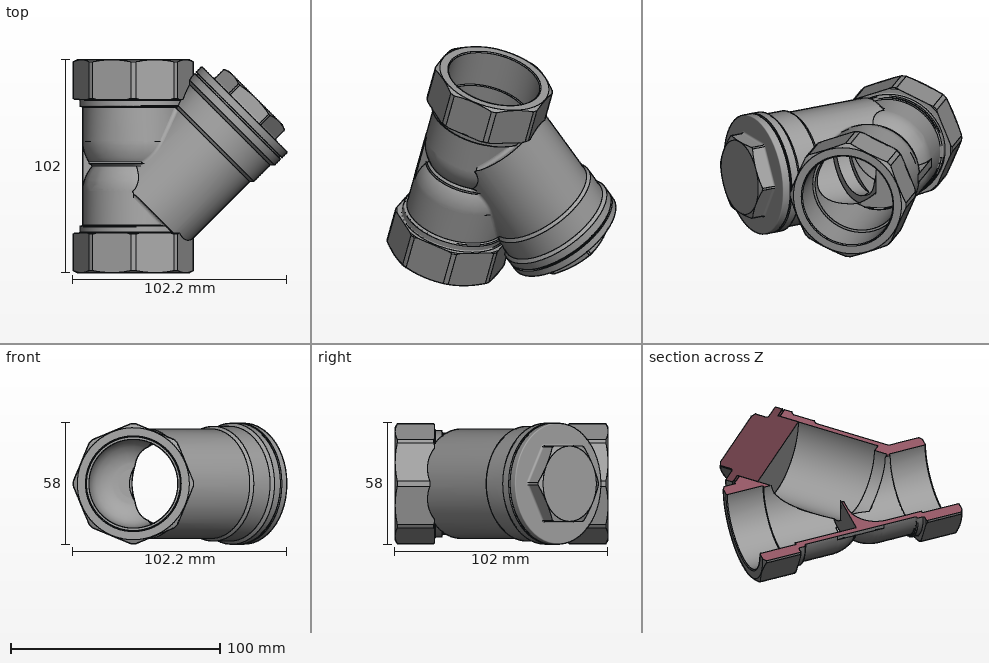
import cadquery as cq
import math


PIPE_LENGTH = 102.0
HALF_LENGTH = PIPE_LENGTH / 2
OCTAGON_ACROSS_FLATS = 54.0
OCTAGON_CORNER_DIAMETER = 57.5
OCTAGON_LENGTH = 19.0
OCTAGON_START = HALF_LENGTH - OCTAGON_LENGTH
OCTAGON_OUTER_CHAMFER = 1.1
OCTAGON_INNER_CHAMFER = 0.5
OCTAGON_FACE_DIAMETER = 53.6
RING_RADIUS = 25.6
RING_LENGTH = 3.5
RING_START = OCTAGON_START - RING_LENGTH
RING_ROUND = 0.5
WALL_RADIUS = 24.25
DOME_START = 11.9
DOME_ROUND = 18.0
RIB_WIDTH = 4.2

THREAD_DIAMETER = 44.84
THREAD_LENGTH = 18.7
THREAD_CHAMFER = 0.5
BORE_RADIUS = 42.5 / 2
BOWL_FLOOR_RADIUS = 7.0
BOWL_ROUND = BORE_RADIUS - BOWL_FLOOR_RADIUS
BOWL_FLOOR = 0.0
PARTITION_THICKNESS = 1.25

CROSSING_Y = -26.0
BRANCH_RADIUS = 26.25
BRANCH_START = 9.35
COLLAR_RADIUS = 27.5
COLLAR_START = 52.5
RIM_RADIUS = 29.0
RIM_START = 65.0
COLLAR_TAPER = 1.5
MOUTH = 70.5
SCREEN_SEAT_RADIUS = 19.7
SCREEN_SEAT_START = BRANCH_START + 3.0
CAVITY_RADIUS = 46.75 / 2
CAVITY_START = 18.95
BRANCH_FILLET = 1.5

GASKET_RADIUS = 28.0
GASKET_THICKNESS = 1.0
PLUG_LENGTH = 10.0
FLANGE_RADIUS = 29.0
FLANGE_THICKNESS = 3.72
FLANGE_ROUND = 0.5
HEX_ACROSS_FLATS = 36.0
HEX_CORNER_DIAMETER = 41.0
HEX_HEIGHT = 7.6
HEX_CHAMFER = 1.0
HEX_TOP_DIAMETER = 36.0
HEX_BASE_FILLET = 1.0

POSITION_TOLERANCE = 0.01
OVERLAP = 1.0


def branch_plane(distance):
    """Plane square to the branch axis, at a distance from the pipe axis."""
    step = distance * math.sqrt(0.5)
    return cq.Workplane(
        cq.Plane(origin=(step, CROSSING_Y + step, 0), xDir=(1, -1, 0), normal=(1, 1, 0))
    )


def branch_cylinder(radius, start, end):
    return branch_plane(start).circle(radius).extrude(end - start)


def branch_cone(start_radius, end_radius, start, length):
    return branch_plane(start).circle(start_radius).workplane(offset=length).circle(end_radius).loft()


def polygon_circumscribed(across_flats, sides):
    """Diameter over the sharp corners of a regular polygon."""
    return across_flats / math.cos(math.pi / sides)


def pipe_end_plane(y):
    """Plane at a given y, facing +Y."""
    return cq.Workplane(cq.Plane(origin=(0, y, 0), xDir=(1, 0, 0), normal=(0, 1, 0)))


def octagon_end():
    """Octagon nut on the +Y end, with its corners turned and its ends chamfered."""
    corner_radius = OCTAGON_CORNER_DIAMETER / 2
    face_radius = OCTAGON_FACE_DIAMETER / 2
    octagon = (
        pipe_end_plane(OCTAGON_START)
        .polygon(8, polygon_circumscribed(OCTAGON_ACROSS_FLATS, 8))
        .extrude(OCTAGON_LENGTH)
    )
    turned = (
        cq.Workplane("XY")
        .moveTo(0, OCTAGON_START)
        .lineTo(corner_radius - OCTAGON_INNER_CHAMFER, OCTAGON_START)
        .lineTo(corner_radius, OCTAGON_START + OCTAGON_INNER_CHAMFER)
        .lineTo(corner_radius, HALF_LENGTH - OCTAGON_OUTER_CHAMFER)
        .lineTo(face_radius, HALF_LENGTH)
        .lineTo(0, HALF_LENGTH)
        .close()
        .revolve(360, (0, 0, 0), (0, 1, 0))
    )
    return octagon.intersect(turned)


def domed_wall(length):
    """Round wall from the waist at y = 0, over the dome, to a given y."""
    rise = DOME_START / DOME_ROUND
    waist_radius = WALL_RADIUS - DOME_ROUND * (1 - math.sqrt(1 - rise**2))
    return (
        cq.Workplane("XY")
        .lineTo(waist_radius, 0)
        .radiusArc((WALL_RADIUS, DOME_START), -DOME_ROUND)
        .lineTo(WALL_RADIUS, length)
        .lineTo(0, length)
        .close()
        .revolve(360, (0, 0, 0), (0, 1, 0))
    )


def ring():
    """Collar ring against the octagon, with rounded corners."""
    return (
        cq.Workplane("XY")
        .moveTo(0, RING_START - RING_ROUND)
        .lineTo(WALL_RADIUS, RING_START - RING_ROUND)
        .radiusArc((WALL_RADIUS + RING_ROUND, RING_START), RING_ROUND)
        .lineTo(RING_RADIUS - RING_ROUND, RING_START)
        .radiusArc((RING_RADIUS, RING_START + RING_ROUND), -RING_ROUND)
        .lineTo(RING_RADIUS, OCTAGON_START - RING_ROUND)
        .radiusArc((RING_RADIUS + RING_ROUND, OCTAGON_START), RING_ROUND)
        .lineTo(0, OCTAGON_START)
        .close()
        .revolve(360, (0, 0, 0), (0, 1, 0))
    )


def pipe_outside():
    half = domed_wall(RING_START).union(ring()).union(octagon_end())
    rib = cq.Workplane("XY").box(WALL_RADIUS, 2 * DOME_START, RIB_WIDTH).translate((-WALL_RADIUS / 2, 0, 0))
    return half.union(half.mirror("XZ")).union(rib)


def branch_outside():
    """Branch tube with two tapered steps up to its rim."""
    tube = branch_cylinder(BRANCH_RADIUS, BRANCH_START, COLLAR_START + COLLAR_TAPER)
    collar_taper = branch_cone(BRANCH_RADIUS, COLLAR_RADIUS, COLLAR_START, COLLAR_TAPER)
    collar = branch_cylinder(COLLAR_RADIUS, COLLAR_START + COLLAR_TAPER, RIM_START)
    rim_taper = branch_cone(COLLAR_RADIUS, RIM_RADIUS, RIM_START, COLLAR_TAPER)
    rim = branch_cylinder(RIM_RADIUS, RIM_START + COLLAR_TAPER, MOUTH)
    return tube.union(collar_taper).union(collar).union(rim_taper).union(rim)


def valley_fillet():
    """Fillet in the valley between the +Y half of the pipe and the upper half of the branch.

    It is rolled along plain, overlong shapes and then trimmed to the branch tube and the wall.
    """
    upper_half = cq.Workplane("XY").box(*3 * [4 * PIPE_LENGTH], centered=(True, True, False))
    wall = domed_wall(PIPE_LENGTH).intersect(upper_half)
    tube = branch_cylinder(BRANCH_RADIUS, BRANCH_START, PIPE_LENGTH).intersect(upper_half)
    joined = wall.union(tube)
    valley = [
        edge
        for edge in joined.edges("%BSPLINE").vals()
        if edge.Center().y > 0 and edge.Center().z > BRANCH_FILLET
    ]
    filleted = joined.newObject(valley).fillet(BRANCH_FILLET)
    beside_tube = branch_cylinder(BRANCH_RADIUS + 2 * BRANCH_FILLET, BRANCH_START, COLLAR_START)
    beside_wall = pipe_end_plane(0).circle(PIPE_LENGTH).extrude(RING_START)
    return filleted.intersect(beside_tube).intersect(beside_wall)


def end_fillet():
    """Fillet between the flat end of the branch and the pipe wall, on the upper side.

    A ball rolled along this corner has its center on an ellipse. The fillet is what the ball
    leaves of the wedge between the end face, that ellipse and the line of contact on the wall.
    """
    slant = math.sqrt(2)
    center_distance = BRANCH_START - BRANCH_FILLET
    center_radius = WALL_RADIUS + BRANCH_FILLET
    ellipse = branch_plane(center_distance).center(-center_distance, 0).ellipse(slant * center_radius, center_radius)
    ball_track_start = (center_radius, CROSSING_Y + slant * center_distance - center_radius, 0)
    ball_track = cq.Workplane("XY", origin=ball_track_start).circle(BRANCH_FILLET).sweep(ellipse)

    def end_face_y(x):
        return CROSSING_Y + slant * BRANCH_START - x

    def contact_y(x):
        return CROSSING_Y + slant * center_distance - x * (1 + BRANCH_FILLET / WALL_RADIUS)

    wedge = (
        cq.Workplane("XY")
        .polyline([
            (0, end_face_y(0)),
            (center_radius, end_face_y(center_radius)),
            (center_radius, contact_y(center_radius)),
            (0, contact_y(0)),
        ])
        .close()
        .extrude(center_radius)
    )
    return (
        wedge.intersect(ellipse.extrude(PIPE_LENGTH, both=True))
        .intersect(branch_cylinder(BRANCH_RADIUS, 0, BRANCH_START))
        .cut(ball_track)
    )


def thread_bore():
    """Thread bore of the +Y end with its lead-in chamfer."""
    radius = THREAD_DIAMETER / 2
    start = HALF_LENGTH - THREAD_LENGTH
    return (
        pipe_end_plane(start).circle(radius).extrude(THREAD_LENGTH)
        .union(
            cq.Workplane("XY")
            .moveTo(0, HALF_LENGTH - THREAD_CHAMFER)
            .lineTo(radius, HALF_LENGTH - THREAD_CHAMFER)
            .lineTo(radius + THREAD_CHAMFER, HALF_LENGTH)
            .lineTo(0, HALF_LENGTH)
            .close()
            .revolve(360, (0, 0, 0), (0, 1, 0))
        )
    )


def inlet_bore():
    """Bore of the -Y half, ending in a bowl under the partition."""
    bowl_start = BOWL_FLOOR - BOWL_ROUND
    diagonal = BOWL_ROUND * math.sqrt(0.5)
    return (
        cq.Workplane("XY")
        .moveTo(0, -HALF_LENGTH)
        .lineTo(BORE_RADIUS, -HALF_LENGTH)
        .lineTo(BORE_RADIUS, bowl_start)
        .threePointArc(
            (BOWL_FLOOR_RADIUS + diagonal, bowl_start + diagonal),
            (BOWL_FLOOR_RADIUS, BOWL_FLOOR),
        )
        .lineTo(0, BOWL_FLOOR)
        .close()
        .revolve(360, (0, 0, 0), (0, 1, 0))
    )


def outlet_bore():
    """Flat-ended bore of the +Y half, above the partition; it breaks out at the waist."""
    start = BOWL_FLOOR + PARTITION_THICKNESS
    return pipe_end_plane(start).circle(BORE_RADIUS).extrude(HALF_LENGTH - start)


def make_body():
    threads = thread_bore()
    outside = pipe_outside().union(branch_outside())
    for fillet in (valley_fillet(), end_fillet()):
        outside = outside.union(fillet).union(fillet.mirror("XY"))
    return (
        outside
        .cut(threads)
        .cut(threads.mirror("XZ"))
        .cut(inlet_bore())
        .cut(outlet_bore())
        .cut(branch_cylinder(SCREEN_SEAT_RADIUS, SCREEN_SEAT_START, CAVITY_START + OVERLAP))
        .cut(branch_cylinder(CAVITY_RADIUS, CAVITY_START, MOUTH + OVERLAP))
    )


def make_gasket():
    """Flat ring between the branch mouth and the cap flange."""
    return branch_plane(MOUTH).circle(GASKET_RADIUS).circle(CAVITY_RADIUS).extrude(GASKET_THICKNESS)


def cap_hexagon(base):
    """Hexagon head with turned corners and a chamfered top."""
    hexagon = branch_plane(base).polygon(6, polygon_circumscribed(HEX_ACROSS_FLATS, 6)).extrude(HEX_HEIGHT)
    corner_radius = HEX_CORNER_DIAMETER / 2
    top = base + HEX_HEIGHT
    turned = branch_cylinder(corner_radius, base, top - HEX_CHAMFER).union(
        branch_cone(corner_radius, HEX_TOP_DIAMETER / 2, top - HEX_CHAMFER, HEX_CHAMFER)
    )
    return hexagon.intersect(turned)


def make_cap():
    """Plug, flange with a rounded edge, and hexagon head with a fillet around its root."""
    flange_start = MOUTH + GASKET_THICKNESS
    flange_end = flange_start + FLANGE_THICKNESS
    plug = branch_cylinder(CAVITY_RADIUS, MOUTH - PLUG_LENGTH, flange_start)
    flange = branch_cylinder(FLANGE_RADIUS, flange_start, flange_end)
    flange = flange.faces(cq.selectors.DirectionMinMaxSelector(cq.Vector(1, 1, 0), True))
    flange = flange.edges().fillet(FLANGE_ROUND)
    head = flange.union(cap_hexagon(flange_end))
    face = branch_plane(flange_end).plane
    reach = HEX_CORNER_DIAMETER / 2 + POSITION_TOLERANCE
    root = [
        edge
        for edge in head.edges("%LINE").vals() + head.edges("%CIRCLE").vals()
        if abs(face.toLocalCoords(edge.Center()).z) < POSITION_TOLERANCE
        and POSITION_TOLERANCE < (edge.Center() - face.origin).Length < reach
    ]
    return plug.union(head.newObject(root).fillet(HEX_BASE_FILLET))


body = make_body()
gasket = make_gasket()
cap = make_cap()

result = cq.Compound.makeCompound([body.val(), gasket.val(), cap.val()])